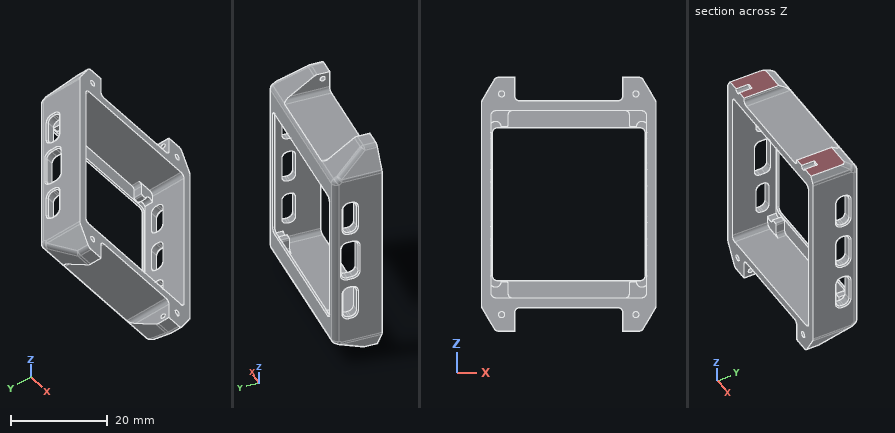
import cadquery as cq
width = 36.2
depth = 10.9
height = 52.6

shoulder = 21.25
tip_half_width = 15.1
tip_depth = 3.15
back_shoulder = 21.1
outer_radius = 1.2
inner_radius = 1.0

gap_width = 22.3
gap_floor = 21.4

pocket_width = 32.2
pocket_height = 38.7
window_size = 31.55
back_thickness = 0.5

block_width = 3.6
block_height = 3.25
block_depth = 2.0
block_root_radius = 0.8
block_edge_radius = 0.3
notch_radius = 1.15
notch_x = 15.15
notch_z = 16.0

slot_depth = 7.15
slot_width = 3.0
slot_length = 7.65
slot_radius = 1.25
slot_pitch = 11.05
slot_bevel = 0.3
wide_slot_width = 3.75
wide_slot_length = 9.15
wide_slot_radius = 1.25

screw_diameter = 1.25
screw_x = 13.9
screw_z = 22.85
screw_hole_depth = 3.0
pin_diameter = 1.1
pin_depth = 1.6
pin_z = 24.9
pin_hole_length = 3.0

front = -depth / 2
back = depth / 2
half_width = width / 2
half_height = height / 2
wall = (width - pocket_width) / 2
slot_cut_length = 1.5 * wall
plate_front = back - back_thickness
SIGNS = (-1, 1)
CORNERS = [(side, end) for side in SIGNS for end in SIGNS]


def front_box(size_x, size_z, y_start, y_end, radius, z=0.0):
    """Block between two Y planes with its Y edges rounded."""
    box = cq.Workplane("XY").box(size_x, y_end - y_start, size_z)
    return box.edges("|Y").fillet(radius).translate((0, (y_start + y_end) / 2, z))


def outer_body():
    """Block with lugs: front outline crossed with the side profile, then rounded."""
    outline = (
        cq.Workplane("XZ", origin=(0, back, 0))
        .polyline([
            (half_width, -shoulder), (half_width, shoulder),
            (tip_half_width, half_height), (-tip_half_width, half_height),
            (-half_width, shoulder), (-half_width, -shoulder),
            (-tip_half_width, -half_height), (tip_half_width, -half_height),
        ])
        .close()
        .extrude(depth)
    )
    profile = (
        cq.Workplane("YZ", origin=(-half_width, 0, 0))
        .polyline([
            (front, -half_height), (front + tip_depth, -half_height),
            (back, -back_shoulder), (back, back_shoulder),
            (front + tip_depth, half_height), (front, half_height),
        ])
        .close()
        .extrude(width)
    )
    body = outline.intersect(profile)
    return body.edges("not(<Y)").fillet(outer_radius)


def lug_gap(end):
    """Cutter for the gap between the two lugs at one end, with rounded root corners."""
    center_z = end * (gap_floor + half_height / 2)
    return front_box(gap_width, half_height, front, back, inner_radius, center_z)


def corner_block(side, end):
    """Block in a pocket corner, flared into the end wall and notched by a cylinder."""
    inner_x = pocket_width / 2 - block_width
    inner_z = pocket_height / 2 - block_height
    outer_x = half_width - wall / 2
    outer_z = pocket_height / 2
    block = (
        cq.Workplane("XZ", origin=(0, plate_front, 0))
        .moveTo(outer_x, outer_z)
        .lineTo(inner_x - block_root_radius, outer_z)
        .radiusArc((inner_x, outer_z - block_root_radius), block_root_radius)
        .lineTo(inner_x, inner_z + block_edge_radius)
        .radiusArc((inner_x + block_edge_radius, inner_z), -block_edge_radius)
        .lineTo(outer_x, inner_z)
        .close()
        .extrude(block_depth)
    )
    notch = (
        cq.Workplane("XZ", origin=(0, plate_front, 0))
        .center(notch_x, notch_z)
        .circle(notch_radius)
        .extrude(block_depth)
    )
    block = block.cut(notch)
    if side < 0:
        block = block.mirror("YZ")
    if end < 0:
        block = block.mirror("XY")
    return block


def slot_cutter(side, z, size_y, size_z, radius):
    """Rounded slot through one side wall, with a bevelled mouth on the outer face."""

    def outline(grow):
        return (
            cq.Workplane("YZ", origin=(half_width, front + slot_depth, z))
            .sketch()
            .rect(size_y + 2 * grow, size_z + 2 * grow)
            .vertices()
            .fillet(radius + grow)
            .finalize()
        )

    slot = outline(0).extrude(-slot_cut_length)
    mouth = outline(slot_bevel).extrude(-slot_bevel, taper=45)
    cutter = slot.union(mouth)
    return cutter if side > 0 else cutter.mirror("YZ")


def lug_holes(side, end):
    """Blind screw hole from the front and blind strap pin hole from the gap in one lug."""
    screw = (
        cq.Workplane("XZ", origin=(0, front + screw_hole_depth, 0))
        .center(side * screw_x, end * screw_z)
        .circle(screw_diameter / 2)
        .extrude(screw_hole_depth)
    )
    pin = (
        cq.Workplane("YZ", origin=(side * gap_width / 2, 0, 0))
        .center(front + pin_depth, end * pin_z)
        .circle(pin_diameter / 2)
        .extrude(side * pin_hole_length)
    )
    return screw.union(pin)


body = outer_body()
for end in SIGNS:
    body = body.cut(lug_gap(end))
body = body.cut(front_box(pocket_width, pocket_height, front, plate_front, inner_radius))
body = body.cut(front_box(window_size, window_size, front, back, inner_radius))
for side, end in CORNERS:
    body = body.union(corner_block(side, end))
    body = body.cut(lug_holes(side, end))
for side in SIGNS:
    for z in (-slot_pitch, slot_pitch):
        body = body.cut(slot_cutter(side, z, slot_width, slot_length, slot_radius))
body = body.cut(slot_cutter(1, 0, slot_width, slot_length, slot_radius))
body = body.cut(slot_cutter(-1, 0, wide_slot_width, wide_slot_length, wide_slot_radius))

result = body